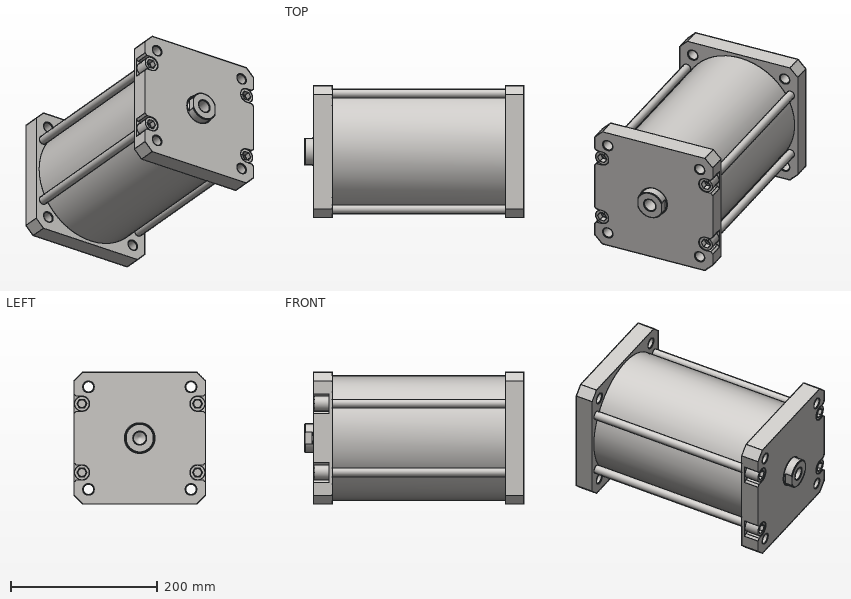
import cadquery as cq


overall_length = 299.2
cap_side = 180.0
cap_corner_chamfer = 12.0
front_cap_thickness = 25.7
rear_cap_thickness = 25.0
barrel_diameter = 170.5

rod_diameter = 39.5
rod_protrusion = 12.0
rod_tip_chamfer = 1.0
rod_flat_width = 36.0
rod_flat_length = 10.2
rod_bore_diameter = 17.5
rod_bore_depth = 21.0
rod_bore_chamfer = 1.0
drill_tip_depth = 5.0
rod_mouth_chamfer = 1.2

mount_hole_spacing = 140.0
mount_hole_diameter = 14.0
mount_hole_chamfer = 1.0

tie_offset_y = 79.0
tie_offset_z = 47.0
tie_diameter = 12.0
head_diameter = 20.0
head_recess = 1.0
socket_across_corners = 13.8
socket_depth = 9.0
socket_relief_diameter = 10.8
socket_relief_depth = 3.0
pocket_depth = 21.0
pocket_width = 21.0
pocket_edge_chamfer = 3.0

front_cap_back = front_cap_thickness
rod_tip = -rod_protrusion
rear_cap_back = overall_length - rod_protrusion
rear_cap_front = rear_cap_back - rear_cap_thickness

tie_places = [(side * tie_offset_y, level * tie_offset_z) for side in (-1, 1) for level in (-1, 1)]


def section_at(x):
    """Workplane at x that draws in (Y, Z) and extrudes towards +X."""
    return cq.Workplane("YZ", origin=(x, 0, 0))


def cylinder(x_start, x_end, diameter, y=0, z=0):
    """Cylinder along X, centred at (y, z)."""
    return section_at(x_start).center(y, z).circle(diameter / 2).extrude(x_end - x_start)


def make_cap(x_start, thickness):
    """Square plate with cut corners and four mounting holes, chamfered on the -X face."""
    plate = section_at(x_start).rect(cap_side, cap_side).extrude(thickness)
    plate = plate.edges("|X").chamfer(cap_corner_chamfer)
    holes = (
        section_at(x_start)
        .rect(mount_hole_spacing, mount_hole_spacing, forConstruction=True)
        .vertices()
        .circle(mount_hole_diameter / 2)
        .extrude(thickness)
    )
    return plate.cut(holes).faces("<X").edges("%CIRCLE").chamfer(mount_hole_chamfer)


def make_head_pocket(y, z):
    """Round-ended slot around (y, z) that runs out through the side of the cap with flared edges."""
    side = 1 if y > 0 else -1
    edge_y = side * cap_side / 2
    half_width = pocket_width / 2
    flare_start_y = edge_y - side * pocket_edge_chamfer
    flare_half_width = half_width + pocket_edge_chamfer
    return (
        section_at(0)
        .moveTo(y, z + half_width)
        .lineTo(flare_start_y, z + half_width)
        .lineTo(edge_y, z + flare_half_width)
        .lineTo(edge_y, z - flare_half_width)
        .lineTo(flare_start_y, z - half_width)
        .lineTo(y, z - half_width)
        .threePointArc((y - side * half_width, z), (y, z + half_width))
        .close()
        .extrude(pocket_depth)
    )


def make_front_cap():
    """Cap with a chamfered hole for the rod, and a pocket and a shank hole for each tie rod."""
    cap = make_cap(0, front_cap_thickness)
    cap = cap.cut(cylinder(0, front_cap_back, rod_diameter))
    rod_mouth = cq.selectors.NearestToPointSelector((0, 0, 0))
    cap = cap.faces("<X").edges(rod_mouth).chamfer(rod_mouth_chamfer)
    for y, z in tie_places:
        cap = cap.cut(make_head_pocket(y, z))
        cap = cap.cut(cylinder(pocket_depth, front_cap_back, tie_diameter, y, z))
    return cap


def make_rear_cap():
    return make_cap(rear_cap_front, rear_cap_thickness)


def make_barrel():
    return cylinder(front_cap_back, rear_cap_front, barrel_diameter)


def make_piston_rod():
    """Rod with two wrench flats that run out at 45 degrees and a drilled bore in its tip."""
    rod = cylinder(rod_tip, front_cap_back, rod_diameter).faces("<X").edges().chamfer(rod_tip_chamfer)
    flat_y = rod_flat_width / 2
    flat_end = rod_tip + rod_flat_length
    run_out = rod_diameter / 2 - flat_y
    flat_cut = (
        cq.Workplane("XY")
        .moveTo(rod_tip, flat_y)
        .lineTo(flat_end, flat_y)
        .lineTo(flat_end + run_out, flat_y + run_out)
        .lineTo(rod_tip, flat_y + run_out)
        .close()
        .extrude(rod_diameter / 2, both=True)
    )
    bore_radius = rod_bore_diameter / 2
    mouth_radius = bore_radius + rod_bore_chamfer
    bore_end = rod_tip + rod_bore_depth
    bore = (
        cq.Workplane("XY")
        .moveTo(rod_tip, 0)
        .lineTo(rod_tip, mouth_radius)
        .lineTo(rod_tip + rod_bore_chamfer, bore_radius)
        .lineTo(bore_end, bore_radius)
        .lineTo(bore_end + drill_tip_depth, 0)
        .close()
        .revolve(360, (0, 0, 0), (1, 0, 0))
    )
    return rod.cut(flat_cut).cut(flat_cut.mirror("XZ")).cut(bore)


def make_tie_rod(y, z):
    """Shank from rear cap to pocket floor, and a head with a hexagon socket above a round relief."""
    head = cylinder(head_recess, pocket_depth, head_diameter, y, z)
    shank = cylinder(pocket_depth, rear_cap_front, tie_diameter, y, z)
    socket = section_at(head_recess).center(y, z).polygon(6, socket_across_corners).extrude(socket_depth)
    socket_floor = head_recess + socket_depth
    relief = cylinder(socket_floor, socket_floor + socket_relief_depth, socket_relief_diameter, y, z)
    return head.union(shank).cut(socket).cut(relief)


front_cap = make_front_cap()
rear_cap = make_rear_cap()
barrel = make_barrel()
piston_rod = make_piston_rod()
tie_rods = [make_tie_rod(y, z) for y, z in tie_places]

result = cq.Compound.makeCompound(
    [front_cap.val(), rear_cap.val(), barrel.val(), piston_rod.val(), *[tie_rod.val() for tie_rod in tie_rods]]
)